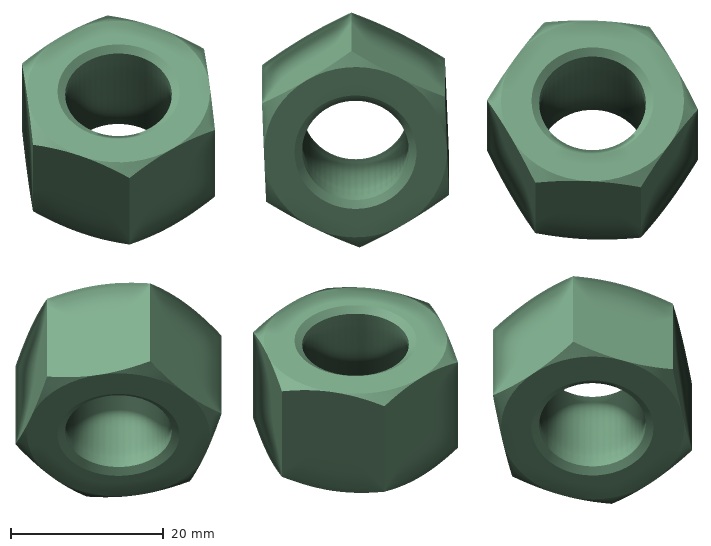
import cadquery as cq
import math

across_corners = 27.7
height = 15.9
bore_diameter = 14.0
countersink_diameter = 16.0
countersink_depth = 0.67
corner_chamfer_angle = 30.0

corner_radius = across_corners / 2
flat_radius = corner_radius * math.cos(math.pi / 6)
bore_radius = bore_diameter / 2
countersink_radius = countersink_diameter / 2
chamfer_drop = (corner_radius - flat_radius) * math.tan(math.radians(corner_chamfer_angle))


def hex_prism():
    """Hexagonal body with two corners on the Y axis."""
    return (
        cq.Workplane("XY")
        .transformed(rotate=(0, 0, 90))
        .polygon(6, across_corners)
        .extrude(height)
    )


def turned_profile():
    """Ring with conical outer ends and a bore countersunk at both ends."""
    return (
        cq.Workplane("XZ")
        .moveTo(countersink_radius, 0)
        .lineTo(flat_radius, 0)
        .lineTo(corner_radius, chamfer_drop)
        .lineTo(corner_radius, height - chamfer_drop)
        .lineTo(flat_radius, height)
        .lineTo(countersink_radius, height)
        .lineTo(bore_radius, height - countersink_depth)
        .lineTo(bore_radius, countersink_depth)
        .close()
        .revolve(360, (0, 0, 0), (0, 1, 0))
    )


result = hex_prism().intersect(turned_profile())